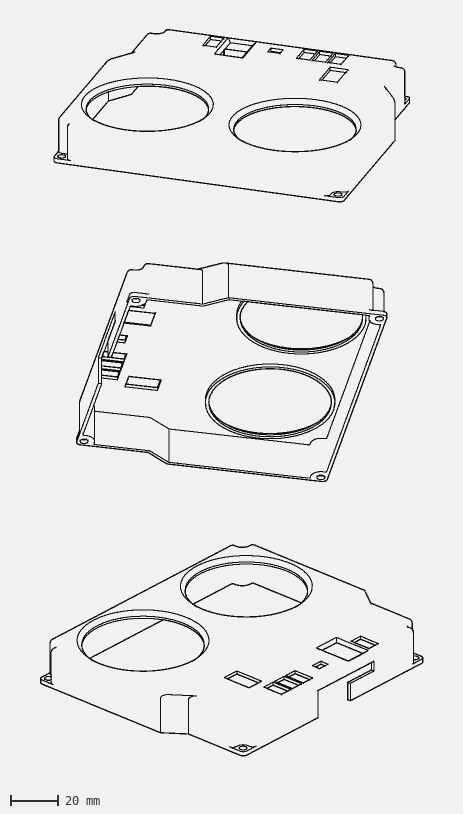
import cadquery as cq
front_width = 130.0
rear_width = 116.0
depth = 110.0
height = 18.5

shoulder_front = 69.0
shoulder_rear = 78.7

wall = 1.5
roof = 1.5
edge_radius = 2.0

tab_thickness = 2.0
screw_diameter = 3.35
screw_inset = 3.0
scoop_radius = 3.0
scoop_reach = screw_inset + scoop_radius

dial_diameter = 52.0
dial_spacing = 66.2
dial_y = 30.9
dial_bevel = 2.0
collar_depth = 3.0
collar_diameter = dial_diameter + 2 * wall

window_x = -17.0
window_y = 99.5
window_width = 9.8
window_length = 15.0
window_bevel = roof

slot_width = 6.0
slot_length = 10.0
slot_y = 102.5
slot_pitch = 7.0
left_slot_x = -28.0
row_start_x = 14.0
row_count = 3

small_opening = (0.0, 102.0, 5.4, 4.0)
large_opening = (31.6, 86.2, 8.0, 14.0)

rear_opening_top = 13.0
tall_opening_half_width = 10.3
sill_height = 8.4
sill_end_x = -25.5


def corners():
    """Outer corners as x, y and the signs of the x and y directions into the part."""
    found = []
    for side in (-1, 1):
        found.append((side * front_width / 2, 0, -side, 1))
        found.append((side * rear_width / 2, depth, -side, -1))
    return found


def foot_prism(thickness):
    """The plan outline with square corners, raised from the base plane."""
    front = front_width / 2
    rear = rear_width / 2
    outline = cq.Workplane("XY").polyline([
        (-front, 0),
        (front, 0),
        (front, shoulder_front),
        (rear, shoulder_rear),
        (rear, depth),
        (-rear, depth),
        (-rear, shoulder_rear),
        (-front, shoulder_front),
    ])
    return outline.close().extrude(thickness)


def round_upright_edges(body, points):
    """Round the vertical edges that stand at the given plan points."""
    tolerance = 0.1
    chosen = []
    for edge in body.edges("|Z").vals():
        middle = edge.Center()
        if any(abs(middle.x - x) < tolerance and abs(middle.y - y) < tolerance for x, y in points):
            chosen.append(edge)
    return body.newObject(chosen).fillet(edge_radius)


def scooped_body():
    """Full-height block with its corners scooped out around the screws."""
    scoop = cq.Workplane("XY").rect(2 * scoop_reach, 2 * scoop_reach).extrude(height)
    scoop = scoop.edges("|Z").fillet(scoop_radius)
    body = foot_prism(height)
    mouths = []
    for x, y, into_x, into_y in corners():
        body = body.cut(scoop.translate((x, y, 0)))
        mouths.append((x + into_x * scoop_reach, y))
        mouths.append((x, y + into_y * scoop_reach))
    return round_upright_edges(body, mouths)


def is_shoulder(edge):
    """True for the straight edges that run between the two shoulder positions."""
    on_slope = shoulder_front < edge.Center().y < shoulder_rear
    return edge.geomType() == "LINE" and on_slope


def shell():
    """Scooped body, rounded along the top except at the shoulders, and hollowed from below."""
    body = scooped_body()
    inner_outline = body.faces("<Z").wires().toPending().offset2D(-wall)
    cavity = inner_outline.extrude(height - roof, combine=False)
    rim = [edge for edge in body.faces(">Z").edges().vals() if not is_shoulder(edge)]
    rounded = body.newObject(rim).fillet(edge_radius)
    tabs = round_upright_edges(foot_prism(tab_thickness), [corner[:2] for corner in corners()])
    return rounded.union(tabs).cut(cavity)


def screw_holes():
    centres = []
    for x, y, into_x, into_y in corners():
        centres.append((x + into_x * screw_inset, y + into_y * screw_inset))
    return cq.Workplane("XY").pushPoints(centres).circle(screw_diameter / 2).extrude(tab_thickness)


def at_height(x, y, z):
    return cq.Workplane("XY", origin=(x, y, z))


def dial_collar(x):
    return at_height(x, dial_y, height - collar_depth).circle(collar_diameter / 2).extrude(collar_depth)


def dial_opening(x):
    radius = dial_diameter / 2
    bore = at_height(x, dial_y, 0).circle(radius).extrude(height)
    bevel = at_height(x, dial_y, height - dial_bevel).circle(radius)
    bevel = bevel.workplane(offset=dial_bevel).circle(radius + dial_bevel).loft()
    return bore.union(bevel)


def window_opening():
    """Tapered cutter with 45 degree sides that leaves the rear wall below uncut."""
    top_width = window_width + 2 * window_bevel
    top_length = window_length + 2 * window_bevel
    bottom = at_height(window_x, window_y, height - roof).rect(window_width, window_length)
    return bottom.workplane(offset=roof).rect(top_width, top_length).loft()


def roof_opening(x, y, width, length):
    return at_height(x, y, height - roof).rect(width, length).extrude(roof)


def rear_wall_opening(left, right, bottom):
    block = cq.Workplane("XY").box(right - left, wall, rear_opening_top - bottom, centered=False)
    return block.translate((left, depth - wall, bottom))


result = shell().cut(screw_holes())
for side in (-1, 1):
    dial_x = side * dial_spacing / 2
    result = result.union(dial_collar(dial_x)).cut(dial_opening(dial_x))
result = result.cut(window_opening())
slot_row = [row_start_x + index * slot_pitch for index in range(row_count)]
for slot_x in [left_slot_x] + slot_row:
    result = result.cut(roof_opening(slot_x, slot_y, slot_width, slot_length))
for placement in (small_opening, large_opening):
    result = result.cut(roof_opening(*placement))
result = result.cut(rear_wall_opening(-tall_opening_half_width, tall_opening_half_width, 0))
result = result.cut(rear_wall_opening(sill_end_x, -tall_opening_half_width, sill_height))